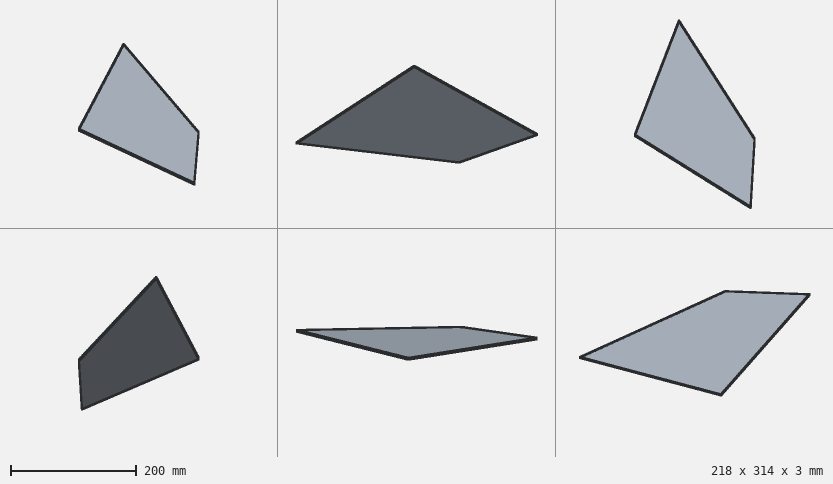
import cadquery as cq

width = 218.0
length = 314.0
thickness = 3.0

left_corner_y = 79.8
shoulder_x = 184.0
shoulder_y = 129.5

outline = [
    (0, left_corner_y),
    (width, 0),
    (shoulder_x, shoulder_y),
    (0, length),
]

result = cq.Workplane("XY").polyline(outline).close().extrude(thickness)